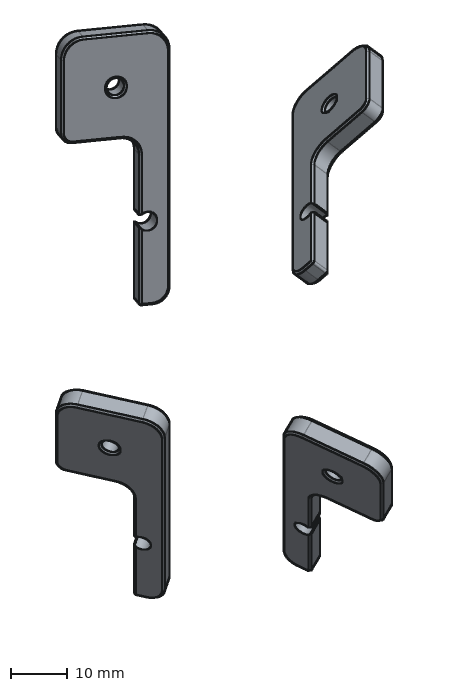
import cadquery as cq

thickness = 4.0
head_width = 20.0
total_height = 51.6
edge_chamfer = 0.4

head_height = 19.8
arm_width = 5.6
top_radius = 4.0
head_lower_radius = 2.0
inner_radius = 3.4
arm_end_radius = 3.2
arm_tip_radius = 0.45

hole_diameter = 3.2
hole_depth_from_top = head_width / 2

notch_diameter = 3.5
notch_opening = 2.35
notch_height = 15.85
notch_inset = 4.2

back_y = head_width / 2
front_y = -head_width / 2
arm_front_y = back_y - arm_width
head_bottom_z = total_height - head_height
hole_z = total_height - hole_depth_from_top
notch_y = back_y - notch_inset


def side_sketch():
    """YZ plane on the -X face, so extrusions run through the plate."""
    return cq.Workplane("YZ", origin=(-thickness / 2, 0, 0))


def round_corner(body, y, z, radius):
    """Round the through-thickness edge standing at (y, z)."""
    corner = cq.selectors.NearestToPointSelector((0, y, z))
    return body.edges("|X").edges(corner).fillet(radius)


def make_plate():
    """Head with a narrow arm, rounded corners and chamfered rims."""
    body = (
        side_sketch()
        .moveTo(front_y, total_height)
        .lineTo(back_y, total_height)
        .lineTo(back_y, 0)
        .lineTo(arm_front_y, 0)
        .lineTo(arm_front_y, head_bottom_z)
        .lineTo(front_y, head_bottom_z)
        .close()
        .extrude(thickness)
    )
    body = round_corner(body, front_y, total_height, top_radius)
    body = round_corner(body, back_y, total_height, top_radius)
    body = round_corner(body, front_y, head_bottom_z, head_lower_radius)
    body = round_corner(body, arm_front_y, head_bottom_z, inner_radius)
    body = round_corner(body, back_y, 0, arm_end_radius)
    body = round_corner(body, arm_front_y, 0, arm_tip_radius)
    hole = side_sketch().center(0, hole_z).circle(hole_diameter / 2).extrude(thickness)
    return body.cut(hole).faces("<X or >X").edges().chamfer(edge_chamfer)


def make_notch():
    """Round seat joined to a narrower mouth opening at the arm front."""
    mouth_length = notch_y - arm_front_y
    seat = side_sketch().center(notch_y, notch_height).circle(notch_diameter / 2).extrude(thickness)
    mouth = (
        side_sketch()
        .center(notch_y - mouth_length / 2, notch_height)
        .rect(mouth_length, notch_opening)
        .extrude(thickness)
    )
    return seat.union(mouth)


result = make_plate().cut(make_notch())